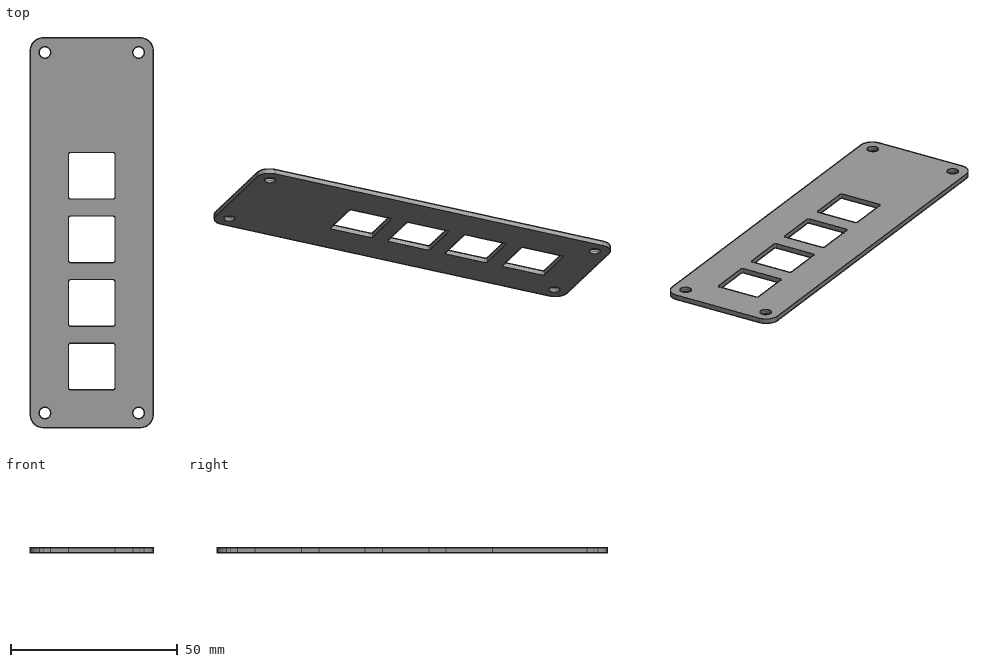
import cadquery as cq

length = 117.0
width = 37.0
thickness = 1.5
corner_radius = 4.0

hole_diameter = 3.4
hole_inset = 4.5

cutout_size = 13.9
cutout_corner_radius = 0.6
cutout_pitch = 19.1
cutout_count = 4
first_cutout_y = -40.1

plate = (
    cq.Workplane("XY")
    .box(width, length, thickness)
    .edges("|Z")
    .fillet(corner_radius)
)

mounting_holes = (
    cq.Workplane("XY")
    .rect(width - 2 * hole_inset, length - 2 * hole_inset, forConstruction=True)
    .vertices()
    .circle(hole_diameter / 2)
    .extrude(thickness, both=True)
)

cutout_centres = [(0, first_cutout_y + i * cutout_pitch) for i in range(cutout_count)]
cutouts = (
    cq.Workplane("XY")
    .pushPoints(cutout_centres)
    .rect(cutout_size, cutout_size)
    .extrude(thickness, both=True)
    .edges("|Z")
    .fillet(cutout_corner_radius)
)

result = plate.cut(mounting_holes).cut(cutouts)